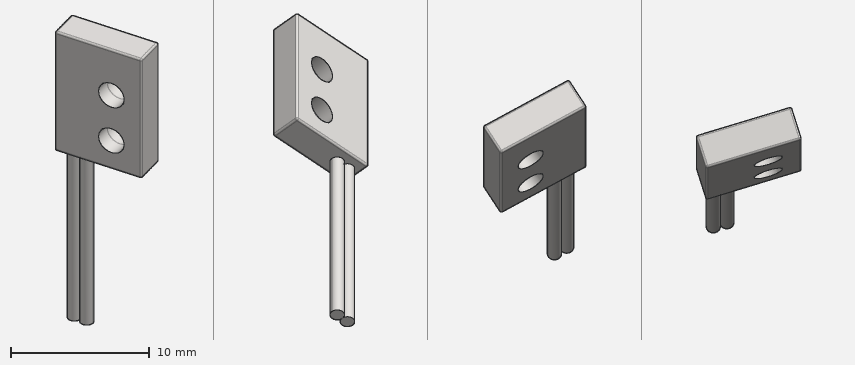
import cadquery as cq

total_height = 25.6
body_width = 7.2
body_depth = 2.5
body_height = 10.5
edge_radius = 0.15

hole_diameter = 2.1
hole_from_right = 2.5
hole_pitch = 4.0
upper_hole_from_top = hole_pitch

wire_diameter = 1.05
wire_spacing = 1.02
wire_pair_from_left = 1.43
wire_embed = 0.5

body_bottom = total_height - body_height


def make_body():
    """Block with every edge rounded, its left side on X = 0 and its depth centred on Y = 0."""
    block = cq.Workplane("XY").box(body_width, body_depth, body_height, centered=(False, True, False))
    return block.edges().fillet(edge_radius).translate((0, 0, body_bottom))


def make_holes():
    """Two cylinders, one above the other, running through the body along Y."""
    hole_x = body_width - hole_from_right
    upper_z = total_height - upper_hole_from_top
    centers = [(hole_x, upper_z), (hole_x, upper_z - hole_pitch)]
    return (
        cq.Workplane("XZ")
        .pushPoints(centers)
        .circle(hole_diameter / 2)
        .extrude(body_depth, both=True)
    )


def make_wire(center_x):
    """One straight wire from Z = 0 up into the body."""
    return cq.Workplane("XY").center(center_x, 0).circle(wire_diameter / 2).extrude(body_bottom + wire_embed)


result = make_body().cut(make_holes())
for side in (-1, 1):
    result = result.union(make_wire(wire_pair_from_left + side * wire_spacing / 2))